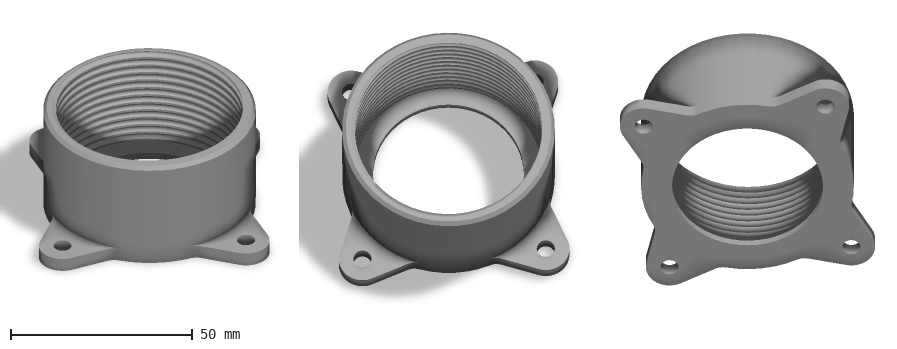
import cadquery as cq
import math

overall_width = 84.55
overall_height = 32.0

barrel_diameter = 58.6
rim_chamfer = 1.0
floor_thickness = 2.0
floor_opening_diameter = 41.6
bore_seam_angle = 77.0

thread_minor_diameter = 51.6
thread_major_diameter = 53.95
thread_turns = 12
thread_pitch = (overall_height - floor_thickness) / thread_turns
thread_root_radius = 0.4
thread_half_angle = math.radians(30)
cutter_overlap = 0.25

lug_count = 4
lug_thickness = 4.0
lug_tip_radius = 6.5
lug_side_angle = math.radians(24.5)
lug_fillet_radius = 4.5
lug_hole_diameter = 5.0
lug_hole_distance = overall_width / 2 - lug_tip_radius


def make_lug():
    """Lug pointing along +X: a round tip with straight sides widening towards the barrel."""
    tangent_x = lug_hole_distance + lug_tip_radius * math.sin(lug_side_angle)
    tangent_y = lug_tip_radius * math.cos(lug_side_angle)
    inner_x = floor_opening_diameter / 2
    inner_y = tangent_y + (tangent_x - inner_x) * math.tan(lug_side_angle)
    return (
        cq.Workplane("XY")
        .moveTo(inner_x, -inner_y)
        .lineTo(tangent_x, -tangent_y)
        .threePointArc((overall_width / 2, 0), (tangent_x, tangent_y))
        .lineTo(inner_x, inner_y)
        .close()
        .extrude(lug_thickness)
    )


def make_base():
    """Disc with the lugs blended into its edge by concave fillets, and a hole in each lug."""
    base = cq.Workplane("XY").circle(barrel_diameter / 2).extrude(lug_thickness)
    for index in range(lug_count):
        base = base.union(make_lug().rotate((0, 0, 0), (0, 0, 1), index * 360 / lug_count))

    corner_limit = (barrel_diameter / 2 + lug_hole_distance) / 2

    def is_corner(edge):
        return math.hypot(edge.Center().x, edge.Center().y) < corner_limit

    corners = [edge for edge in base.edges("|Z").vals() if is_corner(edge)]
    base = base.newObject(corners).fillet(lug_fillet_radius)
    holes = (
        cq.Workplane("XY")
        .polarArray(lug_hole_distance, 0, 360, lug_count)
        .circle(lug_hole_diameter / 2)
        .extrude(lug_thickness)
    )
    return base.cut(holes)


def make_barrel():
    """Plain round barrel with a chamfered top rim."""
    barrel = cq.Workplane("XY").circle(barrel_diameter / 2).extrude(overall_height)
    return barrel.faces(">Z").edges().chamfer(rim_chamfer)


def make_bore():
    """Bore above the floor, together with the smaller opening through the floor."""
    bore = (
        cq.Workplane("XY", origin=(0, 0, floor_thickness))
        .circle(thread_minor_diameter / 2)
        .extrude(overall_height - floor_thickness)
    )
    opening = cq.Workplane("XY").circle(floor_opening_diameter / 2).extrude(overall_height)
    return bore.union(opening).rotate((0, 0, 0), (0, 0, 1), bore_seam_angle)


def make_thread_groove():
    """Right-handed helical groove whose middle meets the rim plane on the -X side."""
    turns_below_rim = thread_turns + 0.5
    turns_above_rim = 1
    start_z = overall_height - turns_below_rim * thread_pitch
    helix_height = (turns_below_rim + turns_above_rim) * thread_pitch

    minor_radius = thread_minor_diameter / 2
    major_radius = thread_major_diameter / 2
    inner_radius = minor_radius - cutter_overlap
    flank_end_radius = major_radius - thread_root_radius * (1 - math.sin(thread_half_angle))
    flank_end_half = thread_root_radius * math.cos(thread_half_angle)
    inner_half = flank_end_half + (flank_end_radius - inner_radius) * math.tan(thread_half_angle)

    helix = cq.Wire.makeHelix(thread_pitch, helix_height, minor_radius, cq.Vector(0, 0, start_z))
    groove = (
        cq.Workplane("XZ")
        .moveTo(inner_radius, start_z - inner_half)
        .lineTo(flank_end_radius, start_z - flank_end_half)
        .threePointArc((major_radius, start_z), (flank_end_radius, start_z + flank_end_half))
        .lineTo(inner_radius, start_z + inner_half)
        .close()
        .sweep(cq.Workplane(obj=helix), isFrenet=True)
    )
    threaded_zone = (
        cq.Workplane("XY", origin=(0, 0, floor_thickness))
        .circle(barrel_diameter / 2)
        .extrude(overall_height - floor_thickness)
    )
    return groove.intersect(threaded_zone)


result = make_base().union(make_barrel()).cut(make_bore()).cut(make_thread_groove())